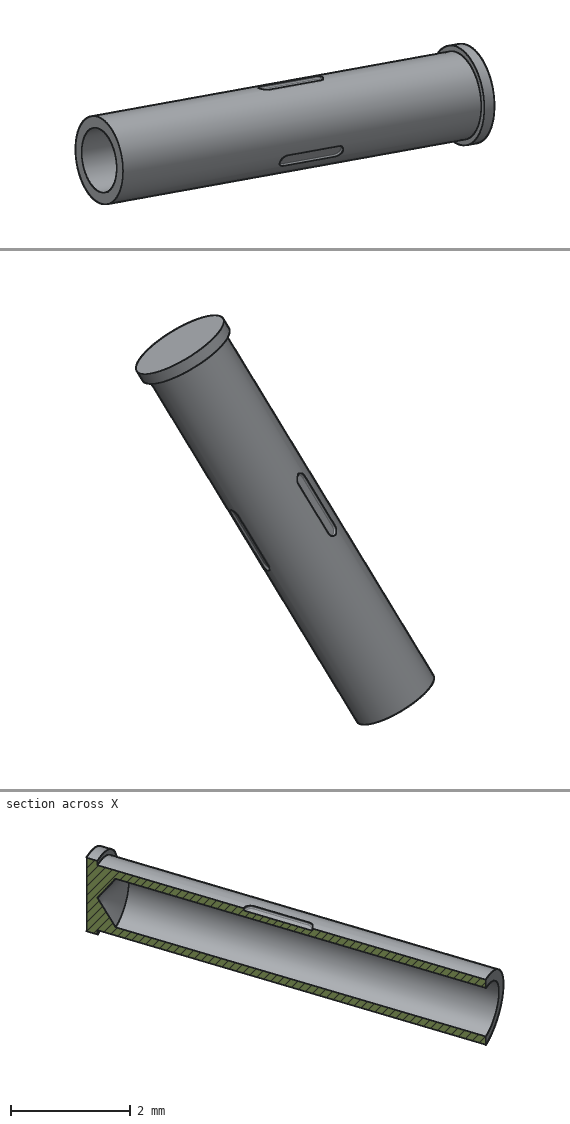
import cadquery as cq
import math

length = 7.3
flange_diameter = 1.7
flange_thickness = 0.205
body_diameter = 1.505
bore_diameter = 1.1
drill_point_angle = 118.0
end_wall = flange_thickness

pocket_count = 3
pocket_length = 1.25
pocket_width = 0.25
pocket_depth = 0.05
pocket_floor_fillet = 0.02
pocket_centre_from_flange_end = 3.505

open_end_y = -length / 2
flange_end_y = length / 2


def sleeve_blank():
    """Revolve the outer shape: plain body with a thin end flange."""
    body_radius = body_diameter / 2
    flange_radius = flange_diameter / 2
    flange_face_y = flange_end_y - flange_thickness
    outline = (
        cq.Workplane("XY")
        .moveTo(0, open_end_y)
        .lineTo(body_radius, open_end_y)
        .lineTo(body_radius, flange_face_y)
        .lineTo(flange_radius, flange_face_y)
        .lineTo(flange_radius, flange_end_y)
        .lineTo(0, flange_end_y)
        .close()
    )
    return outline.revolve(360, (0, 0, 0), (0, 1, 0))


def blind_bore():
    """Revolve the drilled bore, which ends in a conical drill point."""
    bore_radius = bore_diameter / 2
    tip_y = flange_end_y - end_wall
    cone_height = bore_radius / math.tan(math.radians(drill_point_angle / 2))
    outline = (
        cq.Workplane("XY")
        .moveTo(0, open_end_y)
        .lineTo(bore_radius, open_end_y)
        .lineTo(bore_radius, tip_y - cone_height)
        .lineTo(0, tip_y)
        .close()
    )
    return outline.revolve(360, (0, 0, 0), (0, 1, 0))


def pocket(angle):
    """Round-ended pocket cutter, turned about the sleeve axis from the +Z side."""
    floor_height = body_diameter / 2 - pocket_depth
    centre_y = flange_end_y - pocket_centre_from_flange_end
    cutter_height = 2 * pocket_depth
    cutter = (
        cq.Workplane("XY", origin=(0, centre_y, floor_height))
        .slot2D(pocket_length, pocket_width, 90)
        .extrude(cutter_height)
        .faces("<Z")
        .edges()
        .fillet(pocket_floor_fillet)
    )
    return cutter.rotate((0, 0, 0), (0, 1, 0), angle)


result = sleeve_blank().cut(blind_bore())
for index in range(pocket_count):
    result = result.cut(pocket(index * 360 / pocket_count))